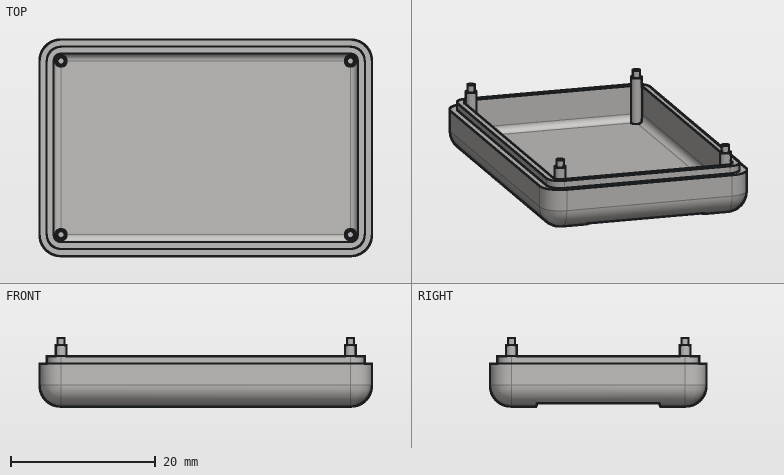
import cadquery as cq

length = 46.0
width = 30.0
rim_height = 6.0
corner_radius = 3.0

fillet_margin = 0.005

lip_inset = 1.0
lip_height = 1.0
floor_height = 2.0
cavity_inset = 2.0
cavity_radius = corner_radius - cavity_inset

post_diameter = 1.5
pin_diameter = 1.0
post_top = 8.5
pin_top = 9.5

channel_mouth_width = 17.2
channel_ceiling_width = 16.85
channel_depth = 0.45

lip_top = rim_height + lip_height


def rounded_block(inset, radius, bottom, top):
    """Block inset from the outer sides, with rounded vertical corners."""
    return (
        cq.Workplane("XY")
        .workplane(offset=bottom)
        .rect(length - 2 * inset, width - 2 * inset)
        .extrude(top - bottom)
        .edges("|Z")
        .fillet(radius)
    )


def hollow_shell():
    """Tray with a rounded underside, a stepped lip and a rounded cavity floor."""
    block = rounded_block(0, corner_radius, 0, rim_height)
    body = block.faces("<Z").edges().fillet(corner_radius - fillet_margin)
    lip = rounded_block(lip_inset, corner_radius - lip_inset, floor_height, lip_top)
    cavity = rounded_block(cavity_inset, cavity_radius, floor_height, lip_top)
    cavity = cavity.faces("<Z").edges().fillet(cavity_radius - fillet_margin)
    return body.union(lip).cut(cavity)


def corner_cylinders(diameter, top):
    """One cylinder rising from the floor at the centre of each corner round."""
    return (
        cq.Workplane("XY")
        .workplane(offset=floor_height / 2)
        .rect(length - 2 * corner_radius, width - 2 * corner_radius, forConstruction=True)
        .vertices()
        .circle(diameter / 2)
        .extrude(top - floor_height / 2)
    )


def underside_channel():
    """Shallow channel with slightly sloping sides, running the full length."""
    half_mouth = channel_mouth_width / 2
    half_ceiling = channel_ceiling_width / 2
    return (
        cq.Workplane("YZ")
        .moveTo(-half_mouth, 0)
        .lineTo(half_mouth, 0)
        .lineTo(half_ceiling, channel_depth)
        .lineTo(-half_ceiling, channel_depth)
        .close()
        .extrude(length / 2, both=True)
    )


posts = corner_cylinders(post_diameter, post_top)
pins = corner_cylinders(pin_diameter, pin_top)
result = hollow_shell().union(posts).union(pins).cut(underside_channel())